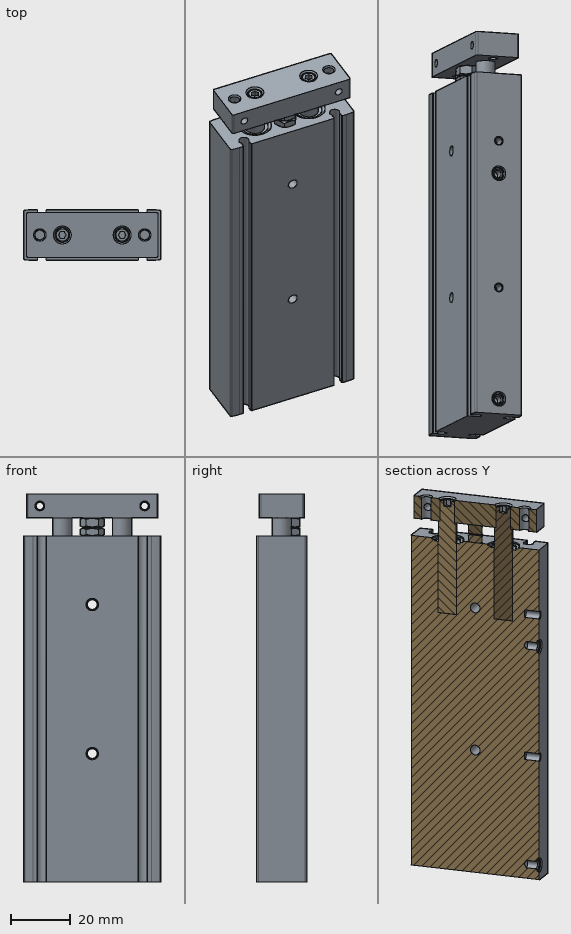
import cadquery as cq
import math

TOTAL_HEIGHT = 130.0
HOUSING_WIDTH = 46.0
HOUSING_DEPTH = 17.0
HOUSING_HEIGHT = 116.0
PLATE_WIDTH = 44.0
PLATE_DEPTH = 15.1
PLATE_THICKNESS = 8.0
PLATE_EDGE_RADIUS = 0.5
PLATE_BOTTOM = TOTAL_HEIGHT - PLATE_THICKNESS
EDGE_RADIUS = 0.5

GROOVE_X = 16.9
GROOVE_DIAMETER = 3.4
GROOVE_MOUTH = 2.7
GROOVE_CENTER_DEPTH = 2.7
GROOVE_MOUTH_CHAMFER = 0.3

CROWN_START_X = 19.9
CROWN_DROP = 0.3

ROD_X = 10.0
ROD_DIAMETER = 6.5
ROD_INSERTION = 26.0
SEAL_RECESS_DIAMETER = 11.0
SEAL_RECESS_DEPTH = 0.5
SEAL_SEAT_DIAMETER = 9.0
SEAL_SEAT_DEPTH = 1.0
STUD_DIAMETER = 5.0
STUD_END_DIAMETER = 4.2
STUD_BELOW_TOP = 0.5
STUD_SOCKET_FLATS = 2.2
STUD_SOCKET_DEPTH = 2.0
STUD_HOLE_RIM = 6.0

HOLE_LEVELS = (43.0, 93.0)
FACE_HOLE_DIAMETER = 3.2
FACE_HOLE_RIM = 4.2
SIDE_HOLE_DIAMETER = 2.5
SIDE_HOLE_RIM = 3.0
SIDE_HOLE_DEPTH = 5.2
PORT_LEVELS = (5.1, 81.9)
PORT_DIAMETER = 4.2
PORT_RIM = 5.0
PORT_DEPTH = 0.8
PORT_PASSAGE_DIAMETER = 2.5
PORT_PASSAGE_RIM = 3.2
PORT_PASSAGE_DEPTH = 3.9
DRILL_POINT_ANGLE = 118.0
PLATE_HOLE_X = 17.5
PLATE_TOP_HOLE_DIAMETER = 3.2
PLATE_TOP_HOLE_RIM = 4.2
PLATE_FRONT_HOLE_DIAMETER = 2.5
PLATE_FRONT_HOLE_RIM = 3.2

BOLT_Y = 2.6
BOLT_DIAMETER = 4.0
BOLT_INSERTION = 5.2
HEX_FLATS = 7.0
HEX_END_DIAMETER = 6.5
NUT_THICKNESS = 3.1
BOLT_HEAD_HEIGHT = 2.6
HEX_CHAMFER_ANGLE = 30.0

HEX_SIDES = 6
HEX_HALF_CORNER_ANGLE = 180.0 / HEX_SIDES


def cylinder(start, direction, diameter, length):
    """Cylinder that runs from a start point along a direction."""
    return cq.Workplane(cq.Solid.makeCylinder(diameter / 2, length, cq.Vector(*start), cq.Vector(*direction)))


def rim_chamfer(start, direction, rim_diameter, hole_diameter):
    """45 degree cone that breaks the edge of a hole."""
    depth = (rim_diameter - hole_diameter) / 2
    rim_radius = rim_diameter / 2
    hole_radius = hole_diameter / 2
    return cq.Workplane(
        cq.Solid.makeCone(rim_radius, hole_radius, depth, cq.Vector(*start), cq.Vector(*direction))
    )


def chamfered_hole(start, direction, diameter, rim_diameter, depth):
    """Cutter for a round hole whose opening has a 45 degree chamfer."""
    hole = cylinder(start, direction, diameter, depth)
    return hole.union(rim_chamfer(start, direction, rim_diameter, diameter))


def hexagon(x, y, z, flats, height):
    """Hexagonal prism with two corners on the X axis."""
    corners = flats / math.cos(math.radians(HEX_HALF_CORNER_ANGLE))
    return cq.Workplane("XY", origin=(x, y, z)).polygon(HEX_SIDES, corners).extrude(height)


def housing_blank():
    """Extruded bar with rounded corners and crowned strips beside its narrow sides."""
    half_width = HOUSING_WIDTH / 2
    half_depth = HOUSING_DEPTH / 2
    edge_y = half_depth - CROWN_DROP
    crown_mid_x = (CROWN_START_X + half_width) / 2
    crown_mid_y = half_depth - CROWN_DROP / 4
    outline = (
        cq.Workplane("XY")
        .moveTo(-CROWN_START_X, -half_depth)
        .lineTo(CROWN_START_X, -half_depth)
        .threePointArc((crown_mid_x, -crown_mid_y), (half_width, -edge_y))
        .lineTo(half_width, edge_y)
        .threePointArc((crown_mid_x, crown_mid_y), (CROWN_START_X, half_depth))
        .lineTo(-CROWN_START_X, half_depth)
        .threePointArc((-crown_mid_x, crown_mid_y), (-half_width, edge_y))
        .lineTo(-half_width, -edge_y)
        .threePointArc((-crown_mid_x, -crown_mid_y), (-CROWN_START_X, -half_depth))
        .close()
    )
    return outline.extrude(HOUSING_HEIGHT).edges("|Z and (<X or >X)").fillet(EDGE_RADIUS)


def groove_cutter(x, side):
    """Round-bottomed sensor groove; side is -1 for the front face and 1 for the back face."""
    face_y = side * HOUSING_DEPTH / 2
    center_y = face_y - side * GROOVE_CENTER_DEPTH
    chamfer_y = face_y - side * GROOVE_MOUTH_CHAMFER
    half_mouth = GROOVE_MOUTH / 2
    half_rim = half_mouth + GROOVE_MOUTH_CHAMFER
    channel = cq.Workplane("XY").center(x, center_y).circle(GROOVE_DIAMETER / 2).extrude(HOUSING_HEIGHT)
    mouth = (
        cq.Workplane("XY")
        .moveTo(x - half_mouth, center_y)
        .lineTo(x - half_mouth, chamfer_y)
        .lineTo(x - half_rim, face_y)
        .lineTo(x + half_rim, face_y)
        .lineTo(x + half_mouth, chamfer_y)
        .lineTo(x + half_mouth, center_y)
        .close()
        .extrude(HOUSING_HEIGHT)
    )
    return channel.union(mouth)


def rod_bore(x):
    """Rod bore with a shallow seal recess and a smaller seat below it."""
    top = (x, 0, HOUSING_HEIGHT)
    down = (0, 0, -1)
    bore = cylinder(top, down, ROD_DIAMETER, ROD_INSERTION)
    recess = cylinder(top, down, SEAL_RECESS_DIAMETER, SEAL_RECESS_DEPTH)
    seat = cylinder(top, down, SEAL_SEAT_DIAMETER, SEAL_SEAT_DEPTH)
    return bore.union(recess).union(seat)


def air_port(z):
    """Chamfered port with a narrow drilled passage at its bottom, opening on the -X side."""
    inward = (1, 0, 0)
    side_x = -HOUSING_WIDTH / 2
    passage_end = side_x + PORT_DEPTH + PORT_PASSAGE_DEPTH
    radius = PORT_PASSAGE_DIAMETER / 2
    point_length = radius / math.tan(math.radians(DRILL_POINT_ANGLE / 2))
    port = chamfered_hole((side_x, 0, z), inward, PORT_DIAMETER, PORT_RIM, PORT_DEPTH)
    port_floor = (side_x + PORT_DEPTH, 0, z)
    passage = chamfered_hole(port_floor, inward, PORT_PASSAGE_DIAMETER, PORT_PASSAGE_RIM, PORT_PASSAGE_DEPTH)
    point = cq.Solid.makeCone(radius, 0, point_length, cq.Vector(passage_end, 0, z), cq.Vector(*inward))
    return port.union(passage).union(cq.Workplane(point))


def make_housing():
    body = housing_blank()
    for x in (-GROOVE_X, GROOVE_X):
        for side in (-1, 1):
            body = body.cut(groove_cutter(x, side))
    for x in (-ROD_X, ROD_X):
        body = body.cut(rod_bore(x))
    front_y = -HOUSING_DEPTH / 2
    side_x = -HOUSING_WIDTH / 2
    for z in HOLE_LEVELS:
        body = body.cut(
            chamfered_hole((0, front_y, z), (0, 1, 0), FACE_HOLE_DIAMETER, FACE_HOLE_RIM, HOUSING_DEPTH)
        )
        body = body.cut(
            chamfered_hole((side_x, 0, z), (1, 0, 0), SIDE_HOLE_DIAMETER, SIDE_HOLE_RIM, SIDE_HOLE_DEPTH)
        )
    for z in PORT_LEVELS:
        body = body.cut(air_port(z))
    return body


def make_plate():
    plate = (
        cq.Workplane("XY", origin=(0, 0, PLATE_BOTTOM))
        .rect(PLATE_WIDTH, PLATE_DEPTH)
        .extrude(PLATE_THICKNESS)
        .edges("|Z")
        .fillet(PLATE_EDGE_RADIUS)
    )
    down = (0, 0, -1)
    front_y = -PLATE_DEPTH / 2
    middle_z = PLATE_BOTTOM + PLATE_THICKNESS / 2
    for x in (-PLATE_HOLE_X, PLATE_HOLE_X):
        top = (x, 0, TOTAL_HEIGHT)
        front = (x, front_y, middle_z)
        plate = plate.cut(
            chamfered_hole(top, down, PLATE_TOP_HOLE_DIAMETER, PLATE_TOP_HOLE_RIM, PLATE_THICKNESS)
        )
        plate = plate.cut(
            chamfered_hole(front, (0, 1, 0), PLATE_FRONT_HOLE_DIAMETER, PLATE_FRONT_HOLE_RIM, PLATE_DEPTH)
        )
    for x in (-ROD_X, ROD_X):
        top = (x, 0, TOTAL_HEIGHT)
        plate = plate.cut(chamfered_hole(top, down, STUD_DIAMETER, STUD_HOLE_RIM, PLATE_THICKNESS))
    return plate.cut(cylinder((0, BOLT_Y, PLATE_BOTTOM), (0, 0, 1), BOLT_DIAMETER, BOLT_INSERTION))


def make_rod(x):
    """Rod with a reduced stud through the plate and a hexagon socket in the stud's end."""
    bottom = HOUSING_HEIGHT - ROD_INSERTION
    stud_top = TOTAL_HEIGHT - STUD_BELOW_TOP
    shaft = cylinder((x, 0, bottom), (0, 0, 1), ROD_DIAMETER, PLATE_BOTTOM - bottom)
    stud = cylinder((x, 0, PLATE_BOTTOM), (0, 0, 1), STUD_DIAMETER, stud_top - PLATE_BOTTOM)
    end_chamfer = (STUD_DIAMETER - STUD_END_DIAMETER) / 2
    stud = stud.faces(">Z").chamfer(end_chamfer)
    socket = hexagon(x, 0, stud_top - STUD_SOCKET_DEPTH, STUD_SOCKET_FLATS, STUD_SOCKET_DEPTH)
    return shaft.union(stud).cut(socket)


def chamfered_hexagon(z, height):
    """Hexagon of the bolt or nut with its corners turned down at both ends."""
    end_radius = HEX_END_DIAMETER / 2
    corner_radius = HEX_FLATS / 2 / math.cos(math.radians(HEX_HALF_CORNER_ANGLE))
    drop = (corner_radius - end_radius) * math.tan(math.radians(HEX_CHAMFER_ANGLE))
    turned = (
        cq.Workplane("XZ", origin=(0, BOLT_Y, z))
        .moveTo(0, 0)
        .lineTo(end_radius, 0)
        .lineTo(corner_radius, drop)
        .lineTo(corner_radius, height - drop)
        .lineTo(end_radius, height)
        .lineTo(0, height)
        .close()
        .revolve(360, (0, 0, 0), (0, 1, 0))
    )
    return hexagon(0, BOLT_Y, z, HEX_FLATS, height).intersect(turned)


def make_bolt():
    shank_start = HOUSING_HEIGHT + BOLT_HEAD_HEIGHT
    shank_length = PLATE_BOTTOM + BOLT_INSERTION - shank_start
    shank = cylinder((0, BOLT_Y, shank_start), (0, 0, 1), BOLT_DIAMETER, shank_length)
    return chamfered_hexagon(HOUSING_HEIGHT, BOLT_HEAD_HEIGHT).union(shank)


def make_nut():
    nut_bottom = PLATE_BOTTOM - NUT_THICKNESS
    hole = cylinder((0, BOLT_Y, nut_bottom), (0, 0, 1), BOLT_DIAMETER, NUT_THICKNESS)
    return chamfered_hexagon(nut_bottom, NUT_THICKNESS).cut(hole)


housing = make_housing()
plate = make_plate()
rods = [make_rod(x) for x in (-ROD_X, ROD_X)]
bolt = make_bolt()
nut = make_nut()

result = cq.Compound.makeCompound(
    [housing.val(), plate.val(), *[rod.val() for rod in rods], bolt.val(), nut.val()]
)